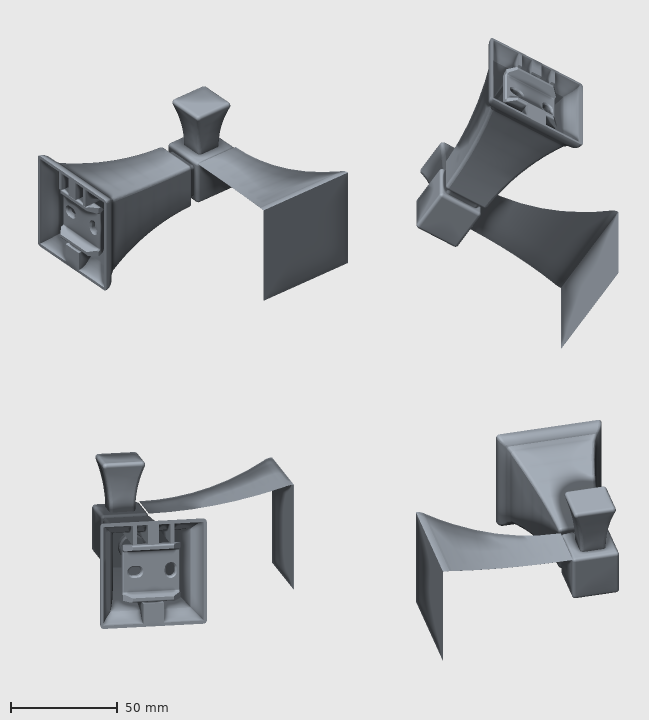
import cadquery as cq
import math


edge_radius = 1.5

hub_side = 22.7
hub_half = hub_side / 2

mouth_half = 25.4

housing_start = 14.6
mouth_reach = 77.9
housing_curve_radius = 192.1
waist_reach = 69.8
ogee_reach = 72.0
ogee_half = 21.9
wall = 1.5
cavity_waist_reach = 70.6
cavity_ogee_reach = 72.7
cavity_ogee_half = 21.5
cavity_floor = 25.0

rib_end = 14.2
side_rib_center = 9.0
side_rib_width = 1.9
middle_rib_width = 5.2
lower_rib_width = 9.9

neck_side = 17.1

knob_top = 36.0
knob_foot_half = 6.2
knob_curve_radius = 68.2

flare_curve_radius = 154.9
flare_bend_reach = 73.2
flare_lip_reach = 74.3
flare_lip_half = 24.8
flare_end = 77.8
sheet = 0.05

bracket_half_length = 13.7
bracket_half_height = 13.2
bracket_back = 69.8
bracket_plate_front = 72.5
flange_tip = 77.0
flange_tip_half_length = 9.8
flange_tip_outer = 13.8
flange_tip_inner = 11.6
flange_tip_radius = 0.8
flange_root_inner = 10.0
flange_root_radius = 0.6
flange_corner_start = 73.2
bend_radius = 3.3
plate_edge_chamfer = 0.6
slot_length = 7.6
slot_width = 5.8
slot_chamfer = 0.7
slot_chamfer_angle = 45
left_slot_x = -7.6
right_slot_x = 9.3

screw_radius = 6.3
screw_height = 4.1
screw_chamfer = 0.8


def curve_half(foot_half, radius, run):
    """Half width of a concave flank, a given run beyond where it starts parallel to the axis."""
    return foot_half + radius - math.sqrt(radius**2 - run**2)


def quarter_arc_middle(start, end):
    """Middle point of an arc between two (reach, half) points that ends parallel to the axis."""
    run = end[0] - start[0]
    rise = end[1] - start[1]
    radius = (run**2 + rise**2) / (2 * rise)
    half_angle = math.asin(run / radius) / 2
    return (end[0] - radius * math.sin(half_angle), end[1] - radius * (1 - math.cos(half_angle)))


def square_horn(outlines):
    """Shared part of two crossing extrusions, one for each pair of opposite flanks."""
    first, second = [outline.mirrorX().extrude(mouth_half, both=True) for outline in outlines]
    return first.intersect(second)


def axis_planes(axis, side_1, side_2):
    """Two planes with their local X along the axis and their local Y along either side."""
    across = [cq.Vector(*axis).cross(cq.Vector(*side)) for side in (side_1, side_2)]
    return [cq.Workplane(cq.Plane((0, 0, 0), axis, normal)) for normal in across]


def draw_housing_half(plane, start, waist, ogee, inset):
    """Half outline of the housing: a concave flank to the waist, an ogee and a round mouth."""

    def half(reach):
        return curve_half(hub_half, housing_curve_radius, reach - hub_half) - inset

    middle = (start + waist) / 2
    mouth = (mouth_reach, mouth_half - inset)
    return (
        plane.moveTo(start, 0)
        .lineTo(start, half(start))
        .threePointArc((middle, half(middle)), (waist, half(waist)))
        .lineTo(*ogee)
        .threePointArc(quarter_arc_middle(ogee, mouth), mouth)
        .lineTo(mouth_reach, 0)
    )


def housing_horn(start, waist, ogee, inset):
    """Square horn along -Y, used for both the outside and the cavity of the housing."""
    planes = axis_planes((0, -1, 0), (1, 0, 0), (0, 0, 1))
    return square_horn([draw_housing_half(plane, start, waist, ogee, inset) for plane in planes])


def make_ribs(cavity):
    """Ribs from the cavity walls toward the bracket, flush with the mouth and trimmed to the cavity."""
    upper = [(-side_rib_center, side_rib_width), (0, middle_rib_width), (side_rib_center, side_rib_width)]
    lower = [(0, lower_rib_width)]
    length = mouth_reach - cavity_floor
    middle_y = -(mouth_reach + cavity_floor) / 2
    height = mouth_half - rib_end
    ribs = []
    for row, direction in ((upper, 1), (lower, -1)):
        for center_x, width in row:
            center = (center_x, middle_y, direction * (rib_end + height / 2))
            ribs.append(cq.Workplane().box(width, length, height).translate(center).intersect(cavity))
    return ribs


def make_housing():
    """Hollow square horn with a closed end at the neck and ribs inside its open mouth."""
    cavity = housing_horn(cavity_floor, cavity_waist_reach, (cavity_ogee_reach, cavity_ogee_half), wall)
    housing = housing_horn(housing_start, waist_reach, (ogee_reach, ogee_half), 0)
    housing = housing.edges("not (|X or |Z)").fillet(edge_radius)
    housing = housing.faces(">Y").edges().fillet(edge_radius)
    housing = housing.cut(cavity)
    for rib in make_ribs(cavity):
        housing = housing.union(rib)
    return housing


def make_hub():
    """Cube with all its edges rounded."""
    return cq.Workplane().box(hub_side, hub_side, hub_side).edges().fillet(edge_radius)


def make_neck():
    """Square post between the hub and the housing."""
    length = housing_start - hub_half
    neck = cq.Workplane().box(neck_side, length, neck_side).edges("|Y").fillet(edge_radius)
    return neck.translate((0, -(housing_start + hub_half) / 2, 0))


def draw_knob_half(plane):
    """Half outline of the knob, from the top of the hub to the flat knob top."""

    def half(height):
        return curve_half(knob_foot_half, knob_curve_radius, height - hub_half)

    middle = (hub_half + knob_top) / 2
    return (
        plane.moveTo(hub_half, 0)
        .lineTo(hub_half, knob_foot_half)
        .threePointArc((middle, half(middle)), (knob_top, half(knob_top)))
        .lineTo(knob_top, 0)
    )


def make_knob():
    """Square knob that widens upward from the top of the hub."""
    planes = axis_planes((0, 0, 1), (1, 0, 0), (0, 1, 0))
    knob = square_horn([draw_knob_half(plane) for plane in planes])
    knob = knob.edges("not (|X or |Y)").fillet(edge_radius)
    return knob.faces(">Z").edges().fillet(edge_radius)


def draw_flare_flank(plane, offset):
    """Curved flank of the flare with its rounded lip, lowered by an offset."""

    def half(reach):
        return curve_half(hub_half, flare_curve_radius, reach - hub_half) - offset

    middle = (hub_half + flare_bend_reach) / 2
    lip = (flare_lip_reach, flare_lip_half - offset)
    rim = (flare_end, mouth_half - offset)
    return (
        plane.moveTo(hub_half, 0)
        .lineTo(hub_half, half(hub_half))
        .threePointArc((middle, half(middle)), (flare_bend_reach, half(flare_bend_reach)))
        .lineTo(*lip)
        .threePointArc(quarter_arc_middle(lip, rim), rim)
        .lineTo(flare_end, 0)
    )


def make_flare():
    """Thin flare: a curved upper sheet that widens toward a square end plate."""
    planes = axis_planes((1, 0, 0), (0, 1, 0), (0, 0, 1))
    horn = square_horn([draw_flare_flank(plane, 0) for plane in planes])
    below = draw_flare_flank(cq.Workplane("XZ"), sheet).close().extrude(2 * mouth_half, both=True)
    upper_half = cq.Workplane().box(2 * flare_end, 2 * mouth_half, mouth_half, centered=(True, True, False))
    upper_sheet = horn.intersect(upper_half).cut(below)
    plate = cq.Workplane().box(sheet, 2 * mouth_half, 2 * mouth_half)
    return upper_sheet.union(plate.translate((flare_end - sheet / 2, 0, 0)))


def cut_slot(bracket, center_x, angle):
    """Through slot with a chamfered mouth on the front of the bracket plate."""
    front = cq.Workplane("XZ", origin=(center_x, -bracket_plate_front, 0)).transformed(rotate=(0, 0, angle))
    inner_length = slot_length - 2 * slot_chamfer
    inner_width = slot_width - 2 * slot_chamfer
    depth = bracket_plate_front - bracket_back
    through = front.slot2D(inner_length, inner_width).extrude(-depth)
    flared = front.slot2D(slot_length, slot_width).extrude(-slot_chamfer, taper=slot_chamfer_angle)
    return bracket.cut(through).cut(flared)


def make_bracket():
    """C-shaped bracket: a slotted plate between two splayed flanges with cut corners."""
    section = (
        cq.Workplane("YZ")
        .moveTo(-bracket_back, 0)
        .lineTo(-bracket_back, bracket_half_height)
        .lineTo(-flange_tip, flange_tip_outer)
        .lineTo(-flange_tip, flange_tip_inner)
        .lineTo(-bracket_plate_front, flange_root_inner)
        .lineTo(-bracket_plate_front, 0)
        .mirrorX()
    )
    bracket = section.extrude(bracket_half_length, both=True).clean()
    bracket = bracket.faces(">Y").edges("|X").fillet(bend_radius)
    bracket = bracket.edges("|X").edges(">Z or <Z").fillet(flange_tip_radius)
    plate_front = bracket.faces(cq.selectors.NearestToPointSelector((0, -bracket_plate_front, 0)))
    bracket = plate_front.edges("|X").fillet(flange_root_radius)
    trim = (
        cq.Workplane("XY")
        .moveTo(0, -bracket_back)
        .lineTo(bracket_half_length, -bracket_back)
        .lineTo(bracket_half_length, -flange_corner_start)
        .lineTo(flange_tip_half_length, -flange_tip)
        .lineTo(0, -flange_tip)
        .mirrorY()
        .extrude(mouth_half, both=True)
    )
    bracket = bracket.intersect(trim)
    plate_front = bracket.faces(cq.selectors.NearestToPointSelector((0, -bracket_plate_front, 0)))
    bracket = plate_front.edges("|Z").chamfer(plate_edge_chamfer)
    bracket = cut_slot(bracket, left_slot_x, 0)
    return cut_slot(bracket, right_slot_x, 90)


def make_screw_head():
    """Round chamfered head against the closed end of the housing cavity."""
    head = cq.Workplane("XZ", origin=(0, -cavity_floor, 0)).circle(screw_radius).extrude(screw_height)
    return head.faces("<Y").edges().chamfer(screw_chamfer)


hub = make_hub()
neck = make_neck()
housing = make_housing()
bracket = make_bracket()
screw_head = make_screw_head()
knob = make_knob()
flare = make_flare()

result = cq.Compound.makeCompound(
    [hub.val(), neck.val(), housing.val(), bracket.val(), screw_head.val(), knob.val(), flare.val()]
)